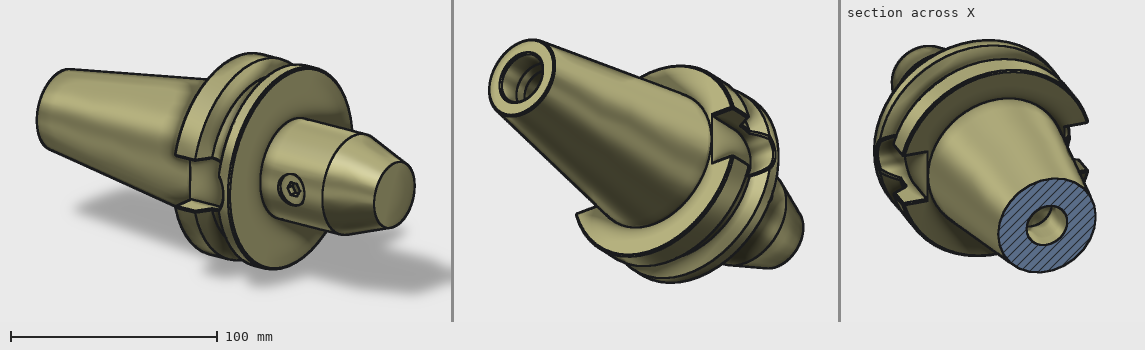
import cadquery as cq

length = 201.8

taper_length = 103.0
taper_slope = 7 / 48
taper_big_radius = 35.1
taper_small_radius = taper_big_radius - taper_length * taper_slope
taper_end_chamfer = 0.6

flange_start = 104.7
flange_end = 139.5
flange_radius = 100.0 / 2
rim_chamfer = 0.8
groove_start = 117.5
groove_floor_start = 121.9
groove_floor_end = 127.7
groove_end = 132.5
groove_radius = 42.5

nose_radius = 50.0 / 2
nose_cone_start = 177.0
nose_tip_radius = 16.3

slot_width = 25.6
slot_floor = 35.5
slot_arc_center = 122.5
slot_edge_chamfer = 0.8
selection_margin = 0.2

counterbore_radius = 25.0 / 2
counterbore_depth = 12.3
counterbore_chamfer = 0.8
hole_lead_in = 3.6
stud_hole_radius = 20.8 / 2
stud_hole_depth = 56.5
drill_point_length = 6.0

screw_x = 158.2
screw_diameter = 16.0
screw_recess = 2.0
hex_corner_diameter = 7.5
hex_depth = 4.0


def revolve_about_x(points):
    """Turn a closed (x, radius) outline about the X axis."""
    return cq.Workplane("XY").polyline(points).close().revolve(360, (0, 0, 0), (1, 0, 0))


def make_body():
    return revolve_about_x([
        (0, 0),
        (0, taper_small_radius - taper_end_chamfer),
        (taper_end_chamfer, taper_small_radius + taper_end_chamfer * taper_slope),
        (taper_length, taper_big_radius),
        (flange_start, taper_big_radius),
        (flange_start, flange_radius - rim_chamfer),
        (flange_start + rim_chamfer, flange_radius),
        (groove_start, flange_radius),
        (groove_floor_start, groove_radius),
        (groove_floor_end, groove_radius),
        (groove_end, flange_radius),
        (flange_end - rim_chamfer, flange_radius),
        (flange_end, flange_radius - rim_chamfer),
        (flange_end, nose_radius),
        (nose_cone_start, nose_radius),
        (length, nose_tip_radius),
        (length, 0),
    ])


def make_stud_hole():
    return revolve_about_x([
        (0, 0),
        (0, counterbore_radius + counterbore_chamfer),
        (counterbore_chamfer, counterbore_radius),
        (counterbore_depth, counterbore_radius),
        (counterbore_depth + hole_lead_in, stud_hole_radius),
        (stud_hole_depth, stud_hole_radius),
        (stud_hole_depth + drill_point_length, 0),
    ])


def make_slot(side):
    """Round-ended slot open toward -X; side is +1 for +Y and -1 for -Y."""
    half_width = slot_width / 2
    return (
        cq.Workplane("XZ", origin=(0, side * slot_floor, 0))
        .moveTo(flange_start, -half_width)
        .lineTo(slot_arc_center, -half_width)
        .threePointArc((slot_arc_center + half_width, 0), (slot_arc_center, half_width))
        .lineTo(flange_start, half_width)
        .close()
        .extrude(-side * flange_radius)
    )


def chamfer_slot_edges(body, side):
    """Break the upper edges of one slot, where its walls meet the flange."""
    reach = slot_width / 2 + selection_margin
    near_slot = cq.selectors.BoxSelector(
        (flange_start - selection_margin, side * (slot_floor + selection_margin), -reach),
        (slot_arc_center + reach, side * flange_radius, reach),
        boundingbox=False,
    )
    return body.edges(near_slot).chamfer(slot_edge_chamfer)


def make_screw_recess():
    face = cq.Workplane("XZ", origin=(screw_x, screw_recess - nose_radius, 0))
    pocket = face.circle(screw_diameter / 2).extrude(screw_recess)
    socket = face.polygon(6, hex_corner_diameter).extrude(-hex_depth)
    return pocket.union(socket)


result = make_body().cut(make_stud_hole()).cut(make_screw_recess())
for y_side in (-1, 1):
    result = result.cut(make_slot(y_side))
    result = chamfer_slot_edges(result, y_side)